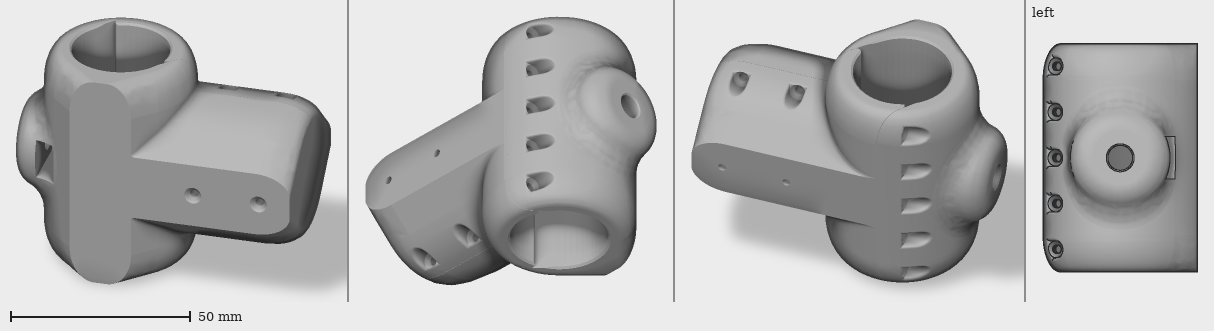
import cadquery as cq
import math

HALF_DEPTH = 21.5
END_INSET = 4.95
END_LENGTH = 10.15

BARREL_RADIUS = 21.5
BARREL_HEIGHT = 63.5
BARREL_HALF_HEIGHT = BARREL_HEIGHT / 2
BARREL_SPREAD = 45.0

ARM_RADIUS = 21.1
ARM_END = 54.65
ARM_LOWER_SPREAD = 50.0
ARM_UPPER_SPREAD = 46.7
CREASE_FILLET = 1.15

BORE_RADIUS = 13.8
BORE_CHAMFER = 0.6
MOUTH_UPPER_ANGLE = 140.0
MOUTH_LOWER_ANGLE = -45.0
LIP_SETBACK = 28.5
LIP_FILLET = 0.8
CLEARANCE = 0.1

BOSS_END = -27.9
BOSS_RADIUS = 13.9
BOSS_ROUNDING = 6.0
BOSS_BLEND = 8.75
BOSS_HOLE_RADIUS = 3.5
BOSS_HOLE_CHAMFER = 0.4

NUT_WIDTH = 11.8
NUT_NEAR_BORE = -15.2
NUT_THICKNESS = 5.8

ARM_HOLE_XS = (26.7, 45.6)
ARM_HOLE_RADIUS = 1.15
COUNTERSINK_RADIUS = 2.5

SCREW_DIAMETER = 2.4
SCREW_HEAD_DIAMETER = 4.7
SCREW_RADIUS = SCREW_DIAMETER / 2
SCREW_HEAD_RADIUS = SCREW_HEAD_DIAMETER / 2
SCREW_DEPTH = 11.55
HEAD_RELIEF = 12.4
RIM_FILLET = 0.75
BARREL_SCREW_COUNT = 5
BARREL_SCREW_PITCH = 12.7
BARREL_SCREW_DIRECTION = 175.0
BARREL_SEAT_X = -7.1
BARREL_SEAT_Y = 17.75
ARM_SCREW_XS = (29.3, 45.8)
ARM_SEAT_Y = 4.5
ARM_SEAT_Z = 18.6
ARM_SCREW_TILT = 15.0

BIG = 165.1
TOUCHING = 0.001


def polar(radius, degrees):
    angle = math.radians(degrees)
    return radius * math.cos(angle), radius * math.sin(angle)



def section(radius, half_length, inner):
    """Round-ended profile in the XZ plane, from x = inner out to the radius."""
    straight = half_length - END_LENGTH
    flat = radius - END_INSET
    return (
        cq.Workplane("XZ")
        .moveTo(inner, -half_length)
        .lineTo(flat, -half_length)
        .ellipseArc(END_INSET, END_LENGTH, -90, 0)
        .lineTo(radius, straight)
        .ellipseArc(END_INSET, END_LENGTH, 0, 90)
        .lineTo(inner, half_length)
        .close()
    )


def round_shaft(radius, half_length):
    return section(radius, half_length, 0).revolve(360, (0, 0, 0), (0, 1, 0))


def wedge(radius, half_length, spread):
    """Two sloped sides, tangent to the shaft, that meet in a ridge at -Y."""
    slab = section(radius, half_length, -radius).extrude(BIG / 2)
    right = slab.rotate((0, 0, 0), (0, 0, 1), spread - 90)
    return right.intersect(right.mirror("YZ"))


def make_barrel():
    shaft = round_shaft(BARREL_RADIUS, BARREL_HALF_HEIGHT)
    return shaft.union(wedge(BARREL_RADIUS, BARREL_HALF_HEIGHT, BARREL_SPREAD))


def make_arm():
    """The arm runs both ways along X, so that its crease with the barrel closes on itself."""
    lower = wedge(ARM_RADIUS, ARM_END, ARM_LOWER_SPREAD)
    upper = wedge(ARM_RADIUS, ARM_END, ARM_UPPER_SPREAD).mirror("XZ")
    shaft = round_shaft(ARM_RADIUS, ARM_END).union(lower).union(upper)
    return shaft.rotate((0, 0, 0), (0, 1, 0), 90)


def make_crossing():
    """Barrel and arm, joined with a fillet along their crease."""
    crossing = make_barrel().union(make_arm())
    near_axis = cq.selectors.BoxSelector(
        (-BARREL_RADIUS, -BIG, -ARM_RADIUS), (BARREL_RADIUS, BIG, ARM_RADIUS)
    )
    along_x = cq.selectors.ParallelDirSelector(cq.Vector(1, 0, 0))
    along_z = cq.selectors.ParallelDirSelector(cq.Vector(0, 0, 1))
    return crossing.edges(near_axis - along_x - along_z).fillet(CREASE_FILLET)


def make_bossed_barrel():
    """Barrel with the domed boss blended onto its round side."""
    boss = (
        cq.Workplane("YZ", origin=(BOSS_END, 0, 0))
        .circle(BOSS_RADIUS)
        .extrude(-BOSS_END)
        .faces("<X").edges().fillet(BOSS_ROUNDING)
    )
    return make_barrel().union(boss).edges("%BSPLINE").edges("<X").fillet(BOSS_BLEND)


def make_outer():
    """Whole outside: the arm on the +X half, the boss on the -X half, cut flat at both Y sides."""
    half = cq.Workplane().box(BIG / 2, 2 * HALF_DEPTH, BIG)
    arm_side = make_crossing().intersect(half.translate((BIG / 4, 0, 0)))
    boss_side = make_bossed_barrel().intersect(half.translate((-BIG / 4, 0, 0)))
    return arm_side.union(boss_side)



def make_bore():
    """Bore along Z with a chamfer at both ends."""
    end_radius = BORE_RADIUS + BORE_CHAMFER
    straight = BARREL_HALF_HEIGHT - BORE_CHAMFER
    return (
        cq.Workplane("XZ")
        .polyline([
            (0, -BARREL_HALF_HEIGHT), (end_radius, -BARREL_HALF_HEIGHT), (BORE_RADIUS, -straight),
            (BORE_RADIUS, straight), (end_radius, BARREL_HALF_HEIGHT), (0, BARREL_HALF_HEIGHT),
        ])
        .close()
        .revolve(360, (0, 0, 0), (0, 1, 0))
    )


def countersunk_hole(base, direction, radius, rim_radius, depth):
    """Hole that starts at the base with a 45 degree countersink out to the rim radius."""
    hole = cq.Solid.makeCylinder(radius, depth, base, direction)
    sink = cq.Solid.makeCone(rim_radius, radius, rim_radius - radius, base, direction)
    return hole.fuse(sink)


def make_boss_hole():
    """Hole along X from the boss's end into the bore."""
    base = cq.Vector(BOSS_END, 0, 0)
    rim_radius = BOSS_HOLE_RADIUS + BOSS_HOLE_CHAMFER
    return countersunk_hole(base, cq.Vector(1, 0, 0), BOSS_HOLE_RADIUS, rim_radius, -BOSS_END)


def make_arm_hole(x):
    """Hole along Y through the arm."""
    base = cq.Vector(x, -HALF_DEPTH, 0)
    return countersunk_hole(base, cq.Vector(0, 1, 0), ARM_HOLE_RADIUS, COUNTERSINK_RADIUS, 2 * HALF_DEPTH)


def make_nut_pocket():
    """Hexagonal seat for a nut, one corner toward +Y, with a slot out to -Y."""
    start = NUT_NEAR_BORE - NUT_THICKNESS
    across_corners = NUT_WIDTH / math.cos(math.radians(30))
    seat = cq.Workplane("YZ", origin=(start, 0, 0)).polygon(6, across_corners).extrude(NUT_THICKNESS)
    slot = cq.Workplane().box(NUT_THICKNESS, HALF_DEPTH, NUT_WIDTH)
    return seat.union(slot.translate((start + NUT_THICKNESS / 2, -HALF_DEPTH / 2, 0)))


def cut_shared_holes(body):
    """Cut the bore, the boss's hole and nut pocket, and the arm's holes."""
    holes = [make_boss_hole(), *(make_arm_hole(x) for x in ARM_HOLE_XS)]
    return body.cut(make_bore()).cut(make_nut_pocket()).cut(cq.Workplane(cq.Compound.makeCompound(holes)))



def barrel_screws():
    """Seat frame of each screw: outward along the screw, local Y away from the bore."""
    outward = cq.Vector(*polar(1, BARREL_SCREW_DIRECTION))
    middle = (BARREL_SCREW_COUNT - 1) / 2
    heights = [BARREL_SCREW_PITCH * (i - middle) for i in range(BARREL_SCREW_COUNT)]
    return [
        cq.Plane((BARREL_SEAT_X, BARREL_SEAT_Y, z), xDir=(0, 0, 1), normal=outward)
        for z in heights
    ]


def arm_screws():
    """Seat frame of each screw: outward along the screw, local Y away from the arm's axis."""
    across, away = polar(1, ARM_SCREW_TILT)
    return [
        cq.Plane((x, ARM_SEAT_Y, side * ARM_SEAT_Z), xDir=(-side, 0, 0), normal=(0, across, side * away))
        for x in ARM_SCREW_XS
        for side in (1, -1)
    ]


def make_head_pocket(seat):
    """Round-bottomed slot for a screw head, open along the screw and away from the part."""
    return (
        cq.Workplane(seat)
        .moveTo(-SCREW_HEAD_RADIUS, 0)
        .threePointArc((0, -SCREW_HEAD_RADIUS), (SCREW_HEAD_RADIUS, 0))
        .lineTo(SCREW_HEAD_RADIUS, HEAD_RELIEF)
        .lineTo(-SCREW_HEAD_RADIUS, HEAD_RELIEF)
        .close()
        .extrude(HEAD_RELIEF)
    )


def cut_head_pocket(body, seat):
    """Cut one head pocket and round the rim where it opens through the body's skin."""
    skin = body.shells().val()
    pocket = make_head_pocket(seat)
    pocket_skin = pocket.shells().val()

    def on_rim(edge):
        middle = cq.Vertex.makeVertex(*edge.positionAt(0.5).toTuple())
        return middle.distance(pocket_skin) < TOUCHING and middle.distance(skin) < TOUCHING

    opened = body.cut(pocket)
    rim = [edge for edge in opened.edges().vals() if on_rim(edge)]
    return opened.newObject(rim).fillet(RIM_FILLET)


def cut_screw_holes(body):
    """Cut the countersunk hole below every screw's seat."""
    holes = [
        countersunk_hole(seat.origin, -seat.zDir, SCREW_RADIUS, SCREW_HEAD_RADIUS, SCREW_DEPTH)
        for seat in barrel_screws() + arm_screws()
    ]
    return body.cut(cq.Workplane(cq.Compound.makeCompound(holes)))



def cover_region(gap, setback):
    """Prism between the mouth walls and above the arm's middle plane.

    The gap moves it inward; the setback is the angle from each wall's normal to the wall's inner end.
    """
    distance = BORE_RADIUS - gap
    inner = distance / math.cos(math.radians(setback))
    upper_foot = polar(distance, MOUTH_UPPER_ANGLE)
    upper_run = polar(BIG / 2, MOUTH_UPPER_ANGLE - 90)
    upper_far = (upper_foot[0] + upper_run[0], upper_foot[1] + upper_run[1])
    normal_x, normal_y = polar(1, MOUTH_LOWER_ANGLE)
    step = ((distance - gap * normal_y) / normal_x, gap)
    return (
        cq.Workplane("XY", origin=(0, 0, -BARREL_HALF_HEIGHT))
        .polyline([
            (0, 0), polar(inner, MOUTH_UPPER_ANGLE - setback), upper_far, (BIG, upper_far[1]),
            (BIG, gap), step, polar(inner, MOUTH_LOWER_ANGLE + setback),
        ])
        .close()
        .extrude(2 * BARREL_HALF_HEIGHT)
    )


def make_housing(outer):
    """Main body: everything outside the cover's region, with the barrel screws' head pockets."""
    body = outer.cut(cover_region(0, 0))
    for seat in barrel_screws():
        body = cut_head_pocket(body, seat)
    return cut_screw_holes(body)


def make_cover(outer):
    """Clamping cover, with rounded lip ends in the bore and the arm screws' head pockets."""
    body = outer.intersect(cover_region(CLEARANCE, LIP_SETBACK))
    lip_reach = BORE_RADIUS + CLEARANCE
    near_bore = cq.selectors.BoxSelector(
        (-lip_reach, -lip_reach, -lip_reach), (lip_reach, lip_reach, lip_reach)
    )
    body = body.edges("|Z").edges(near_bore).fillet(LIP_FILLET)
    for seat in arm_screws():
        body = cut_head_pocket(body, seat)
    return cut_screw_holes(body)


drilled = cut_shared_holes(make_outer())
housing = make_housing(drilled)
cover = make_cover(drilled)
result = cq.Compound.makeCompound([housing.val(), cover.val()])